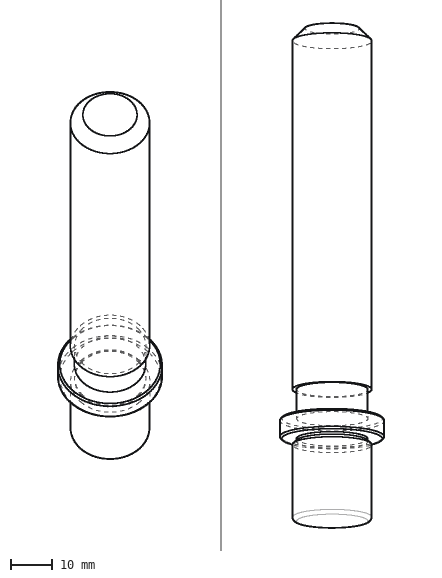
import cadquery as cq

total_length = 120.0
pin_diameter = 19.0
pin_radius = pin_diameter / 2

shank_height = 20.0
shank_rounding = 1.0

undercut_width = 1.5
undercut_depth = 1.0
undercut_cone_height = 0.8

collar_diameter = 25.0
collar_thickness = 4.9
collar_chamfer = 0.5

neck_diameter = 17.0
neck_length = 7.1

tip_diameter = 13.0
tip_height = 3.0

collar_top = shank_height + collar_thickness
guide_bottom = collar_top + neck_length


def cylinder(diameter, bottom, top):
    """Solid disc or rod on the Z axis between two heights."""
    return cq.Workplane("XY").workplane(offset=bottom).circle(diameter / 2).extrude(top - bottom)


def make_shank():
    """Press-fit end with a rounded bottom edge and a cone-sided undercut below the collar."""
    undercut_bottom = shank_height - undercut_width
    cone_top = undercut_bottom + undercut_cone_height
    body = cylinder(pin_diameter, 0, cone_top)
    body = body.faces(">Z").edges().chamfer(undercut_cone_height, undercut_depth)
    body = body.faces("<Z").edges().fillet(shank_rounding)
    undercut = cylinder(pin_diameter - 2 * undercut_depth, cone_top, shank_height)
    return body.union(undercut)


def make_collar():
    """Collar with both rims chamfered."""
    return cylinder(collar_diameter, shank_height, collar_top).edges().chamfer(collar_chamfer)


def make_guide():
    """Long guide rod with a conical tip."""
    tip_inset = pin_radius - tip_diameter / 2
    rod = cylinder(pin_diameter, guide_bottom, total_length)
    return rod.faces(">Z").edges().chamfer(tip_height, tip_inset)


neck = cylinder(neck_diameter, collar_top, guide_bottom)
result = make_shank().union(make_collar()).union(neck).union(make_guide())